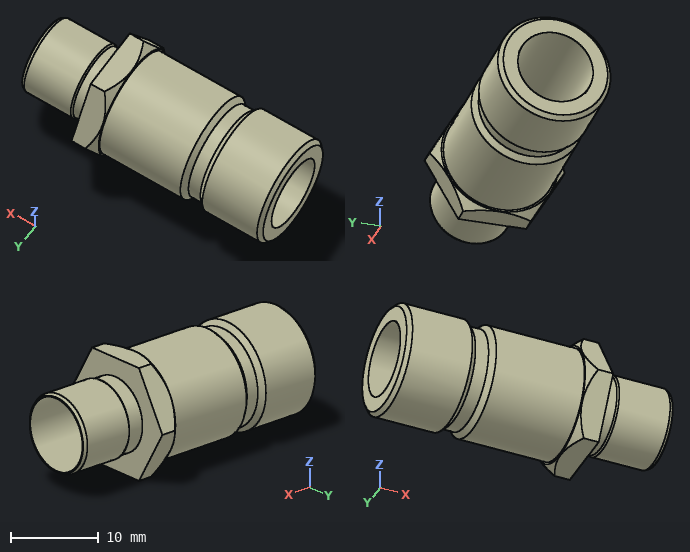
import cadquery as cq
import math

total_length = 34.0
body_length = 22.0
hex_length = 3.0
thread_length = 7.0
hex_end = body_length + hex_length
thread_start = total_length - thread_length

body_radius = 6.73
groove_radius = 6.1
neck_radius = 4.65
thread_radius = 4.85
bore_radius = 4.5
hex_across_flats = 14.0
hex_front_radius = 6.97

groove_start = 8.0
groove_side_length = 0.68
groove_floor_length = 1.63

body_chamfer = 0.5
thread_tip_drop = 0.25
thread_tip_length = 0.45
thread_root_chamfer = 0.2


def revolve_about_x(profile):
    """Turn an (X, radius) outline lying above the X axis into a solid."""
    closed_profile = [(profile[0][0], 0), *profile, (profile[-1][0], 0)]
    outline = cq.Workplane("XY").polyline(closed_profile).close()
    return outline.revolve(360, (0, 0, 0), (1, 0, 0))


def make_turned_core():
    """Body with its groove, then the neck and the thread blank."""
    floor_start = groove_start + groove_side_length
    floor_end = floor_start + groove_floor_length
    groove_end = floor_end + groove_side_length
    return revolve_about_x([
        (0, body_radius - body_chamfer),
        (body_chamfer, body_radius),
        (groove_start, body_radius),
        (floor_start, groove_radius),
        (floor_end, groove_radius),
        (groove_end, body_radius),
        (hex_end, body_radius),
        (hex_end, neck_radius),
        (thread_start, neck_radius),
        (thread_start + thread_root_chamfer, thread_radius),
        (total_length - thread_tip_length, thread_radius),
        (total_length, thread_radius - thread_tip_drop),
    ])


def make_hex():
    """Hexagon with corners on +Y and -Y, its front corners turned off at 45 degrees."""
    corner_radius = hex_across_flats / math.sqrt(3)
    prism = (
        cq.Workplane("YZ", origin=(body_length, 0, 0))
        .polygon(6, 2 * corner_radius)
        .extrude(hex_length)
    )
    chamfer_envelope = revolve_about_x([
        (body_length, hex_front_radius),
        (hex_end, hex_front_radius + hex_length),
    ])
    return prism.intersect(chamfer_envelope)


bore = cq.Workplane("YZ").circle(bore_radius).extrude(total_length)
result = make_turned_core().union(make_hex()).cut(bore)